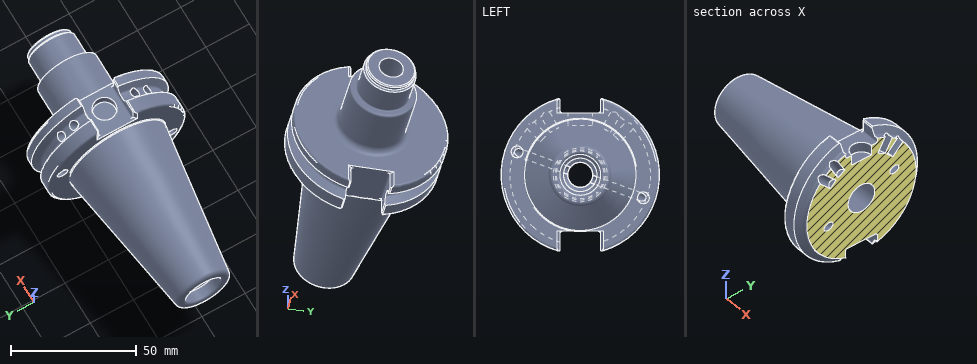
import cadquery as cq
import math

total_length = 123.8
taper_end = 68.3
flange_front = 69.2
flange_back = 87.4
collar_end = 109.6
pilot_end = 121.3
lip_start = 121.9

taper_radius = 22.3
taper_slope = 7 / 48
tip_radius = taper_radius - taper_slope * taper_end
tip_fillet = 2.0
taper_root_fillet = 0.4

flange_radius = 31.7
flange_edge_fillet = 1.0
rim_clearance = 1.2
groove_center = 79.3
groove_width = 7.3
groove_depth = 3.6
groove_wall_angle = 30.0
groove_fillet = 1.0

collar_radius = 13.7
collar_root_fillet = 3.0
collar_edge_fillet = 1.0
pilot_radius = 10.8
pilot_root_fillet = 0.5
lip_radius = 10.0
lip_chamfer = 0.5

counterbore_radius = 8.2
mouth_fillet = 1.1
counterbore_depth = 5.2
thread_radius = 6.7
thread_depth = 90.3
through_radius = 5.0
drill_point_angle = 59.0

slot_half_width = 8.0
upper_slot_floor = 24.8
lower_slot_floor = -22.5
slot_floor_fillet = 0.9
slot_face_chamfer = 1.2
slot_rim_chamfer = 0.5

pocket_radius = 5.0
pocket_depth = 5.0

balance_hole_radius = 2.0
balance_hole_depth = 7.4
balance_hole_angles = (45, 60, 120, 135)

coolant_circle_radius = 26.9
coolant_angle = 20.0
coolant_recess_radius = 2.4
coolant_recess_depth = 2.5
coolant_channel_radius = 1.6
coolant_tilt = 45.0


def revolve_about_x(profile):
    return profile.close().revolve(360, (0, 0, 0), (1, 0, 0))


def fillet_circle(body, station, radius, fillet):
    """Round the circular edge of given radius at a station on the axis."""
    tol = 0.01
    box = cq.selectors.BoxSelector(
        (station - tol, -radius - tol, -radius - tol),
        (station + tol, radius + tol, radius + tol),
        boundingbox=True,
    )
    edges = [e for e in body.edges("%CIRCLE").edges(box).vals() if abs(e.radius() - radius) < tol]
    return body.newObject(edges).fillet(fillet)


def make_blank():
    profile = (
        cq.Workplane("XY")
        .lineTo(0, tip_radius)
        .lineTo(taper_end, taper_radius)
        .lineTo(flange_front, taper_radius)
        .lineTo(flange_front, flange_radius)
        .lineTo(flange_back, flange_radius)
        .lineTo(flange_back, collar_radius)
        .lineTo(collar_end, collar_radius)
        .lineTo(collar_end, pilot_radius)
        .lineTo(pilot_end, pilot_radius)
        .lineTo(lip_start, lip_radius)
        .lineTo(total_length - lip_chamfer, lip_radius)
        .lineTo(total_length, lip_radius - lip_chamfer)
        .lineTo(total_length, 0)
    )
    blank = revolve_about_x(profile)
    for station, radius, fillet in (
        (0, tip_radius, tip_fillet),
        (flange_front, taper_radius, taper_root_fillet),
        (flange_front, flange_radius, flange_edge_fillet),
        (flange_back, flange_radius, flange_edge_fillet),
        (flange_back, collar_radius, collar_root_fillet),
        (collar_end, collar_radius, collar_edge_fillet),
        (collar_end, pilot_radius, pilot_root_fillet),
    ):
        blank = fillet_circle(blank, station, radius, fillet)
    return blank


def make_groove():
    bottom_radius = flange_radius - groove_depth
    half_top = groove_width / 2
    half_bottom = half_top - groove_depth * math.tan(math.radians(groove_wall_angle))
    profile = (
        cq.Workplane("XY")
        .moveTo(groove_center - half_bottom, bottom_radius)
        .lineTo(groove_center - half_top, flange_radius)
        .lineTo(groove_center - half_top, flange_radius + rim_clearance)
        .lineTo(groove_center + half_top, flange_radius + rim_clearance)
        .lineTo(groove_center + half_top, flange_radius)
        .lineTo(groove_center + half_bottom, bottom_radius)
    )
    groove = revolve_about_x(profile)
    for side in (-1, 1):
        groove = fillet_circle(groove, groove_center + side * half_bottom, bottom_radius, groove_fillet)
    return groove


def make_bore():
    mouth_radius = counterbore_radius + mouth_fillet
    arc_offset = mouth_fillet * (1 - math.sqrt(0.5))
    cone_rate = 1 / math.tan(math.radians(drill_point_angle))
    thread_start = counterbore_depth + counterbore_radius - thread_radius
    through_start = thread_depth + (thread_radius - through_radius) * cone_rate
    profile = (
        cq.Workplane("XY")
        .lineTo(0, mouth_radius)
        .threePointArc((arc_offset, counterbore_radius + arc_offset), (mouth_fillet, counterbore_radius))
        .lineTo(counterbore_depth, counterbore_radius)
        .lineTo(thread_start, thread_radius)
        .lineTo(thread_depth, thread_radius)
        .lineTo(through_start, through_radius)
        .lineTo(total_length, through_radius)
        .lineTo(total_length, 0)
    )
    return revolve_about_x(profile)


def make_slot(floor):
    """Drive slot from its floor outward past the rim, with chamfered mouth edges."""
    outward = math.copysign(1, floor)
    flange_width = flange_back - flange_front
    flange_middle = (flange_front + flange_back) / 2
    height = flange_radius + rim_clearance - abs(floor)
    middle_z = floor + outward * height / 2
    slot = cq.Workplane("XY").box(flange_width, 2 * slot_half_width, height)
    slot = slot.edges("|X").edges("<Z" if outward > 0 else ">Z").fillet(slot_floor_fillet)
    slot = slot.translate((flange_middle, 0, middle_z))

    face_half_width = slot_half_width + slot_face_chamfer
    for face, inward in ((flange_front, 1), (flange_back, -1)):
        chamfer_end = face + inward * slot_face_chamfer
        mouth = (
            cq.Workplane("XY", origin=(0, 0, floor))
            .polyline([
                (face, -face_half_width),
                (face, face_half_width),
                (chamfer_end, slot_half_width),
                (chamfer_end, -slot_half_width),
            ])
            .close()
            .extrude(outward * height)
        )
        slot = slot.union(mouth)

    rim_half_width = slot_half_width + slot_rim_chamfer
    rim_z = math.sqrt(flange_radius**2 - rim_half_width**2)
    flare_bottom = outward * (rim_z - slot_rim_chamfer)
    flare_top = outward * (rim_z + rim_clearance)
    flare_half_width = rim_half_width + rim_clearance
    flare = (
        cq.Workplane("YZ", origin=(flange_front, 0, 0))
        .polyline([
            (-slot_half_width, flare_bottom),
            (slot_half_width, flare_bottom),
            (flare_half_width, flare_top),
            (-flare_half_width, flare_top),
        ])
        .close()
        .extrude(flange_width)
    )
    return slot.union(flare)


def make_pocket():
    return (
        cq.Workplane("XY", origin=(groove_center, 0, upper_slot_floor - pocket_depth))
        .circle(pocket_radius)
        .extrude(pocket_depth)
    )


def make_balance_hole(angle):
    bottom = flange_radius - groove_depth - balance_hole_depth
    hole = (
        cq.Workplane("XZ", origin=(groove_center, bottom, 0))
        .circle(balance_hole_radius)
        .extrude(-balance_hole_depth - groove_depth)
    )
    return hole.rotate((0, 0, 0), (1, 0, 0), angle)


def make_coolant_channel(angle):
    recess = (
        cq.Workplane("YZ", origin=(flange_front, coolant_circle_radius, 0))
        .circle(coolant_recess_radius)
        .extrude(coolant_recess_depth)
    )
    tilt = math.radians(coolant_tilt)
    inward = cq.Vector(math.cos(tilt), -math.sin(tilt), 0)
    start = cq.Vector(flange_front + coolant_recess_depth / 2, coolant_circle_radius, 0)
    length = (coolant_circle_radius - through_radius) / math.sin(tilt) + coolant_channel_radius
    channel = cq.Solid.makeCylinder(coolant_channel_radius, length, start, inward)
    return recess.union(cq.Workplane(channel)).rotate((0, 0, 0), (1, 0, 0), angle)


result = make_blank().cut(make_groove()).cut(make_bore())
for floor in (upper_slot_floor, lower_slot_floor):
    result = result.cut(make_slot(floor))
result = result.cut(make_pocket())
for angle in balance_hole_angles:
    result = result.cut(make_balance_hole(angle))
for angle in (coolant_angle, coolant_angle + 180):
    result = result.cut(make_coolant_channel(angle))